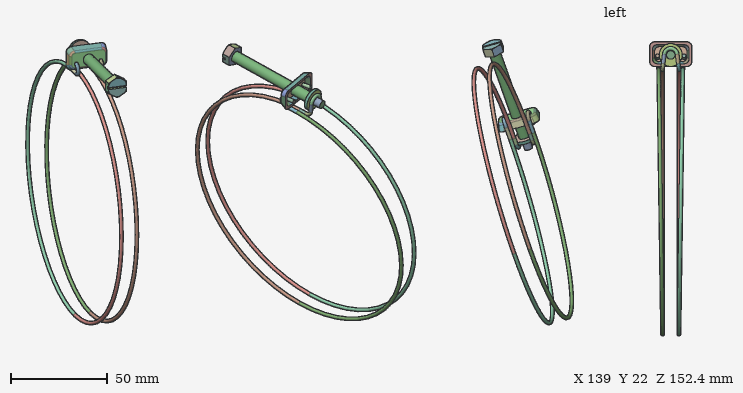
import cadquery as cq
import math


OVERALL_HEIGHT = 152.4

WIRE_DIA = 2.0
WIRE_RADIUS = WIRE_DIA / 2
RING_OUTER_DIA = 139.0
RING_RADIUS = (RING_OUTER_DIA - WIRE_DIA) / 2
INNER_STRAND_Y = 4.3
OUTER_STRAND_Y = 6.2
LOOP_RADIUS = 3.4
BEND_RADIUS = 3.0
HOOK_START_X = 7.2
HOOK_LEAN = 5.0
HOOK_TURN = 170.0
HOOK_END_LENGTH = 6.1

SCREW_Z = 76.0
TIP_DIA = 4.4
TIP_START_X = -11.5
FLANGE_DIA = 11.9
FLANGE_THICKNESS = 1.7
FLANGE_X = -6.0
SHANK_DIA = 6.0
HEAD_X = 46.6
HEAD_HEIGHT = 4.5
HEAD_ACROSS_FLATS = 9.9
HEAD_CHAMFER_DIA = 10.2
HEAD_CHAMFER_ANGLE = 30.0
SLOT_WIDTH = 1.0
SLOT_DEPTH = 1.7

LOOP_X = FLANGE_X - WIRE_RADIUS

PLATE_LENGTH = 22.0
PLATE_HEIGHT = 13.0
PLATE_DEPTH = 4.0
PLATE_RIM_X = 4.3
PLATE_TOP_Z = OVERALL_HEIGHT - RING_OUTER_DIA / 2
PLATE_CENTRE_Z = PLATE_TOP_Z - PLATE_HEIGHT / 2
CORNER_RADIUS = 2.7
END_TAPER = 0.8
LONG_SIDE_TAPER = 1.7
BACK_ROUNDING = 1.2
RIM_WIDTH = 1.5
RECESS_TAPER = 1.0
RECESS_CORNER_RADIUS = 2.5
FLOOR_THICKNESS = 1.2


def strand_edges(side):
    """Centreline of one strand, from its loop leg to its hook end; side is +1 or -1 along Y."""

    def point(x, y, z):
        return cq.Vector(x, side * y, z)

    drop = SCREW_Z - RING_RADIUS
    lean = math.acos(LOOP_RADIUS / math.hypot(INNER_STRAND_Y, drop)) - math.atan2(drop, INNER_STRAND_Y)

    def on_leg(x, rise):
        return point(x, INNER_STRAND_Y - rise * math.sin(lean), RING_RADIUS + rise * math.cos(lean))

    leg_top = point(LOOP_X, LOOP_RADIUS * math.cos(lean), SCREW_Z + LOOP_RADIUS * math.sin(lean))
    bend_start = on_leg(LOOP_X, BEND_RADIUS)
    half_bend = BEND_RADIUS * (1 - math.sqrt(0.5))
    bend_middle = on_leg(LOOP_X + half_bend, half_bend)
    bend_end = on_leg(LOOP_X + BEND_RADIUS, 0)

    ring_start = point(0, INNER_STRAND_Y, RING_RADIUS)
    ring_right = point(RING_RADIUS, INNER_STRAND_Y, 0)
    ring_bottom = point(0, INNER_STRAND_Y, -RING_RADIUS)
    ring_left = point(-RING_RADIUS, (INNER_STRAND_Y + OUTER_STRAND_Y) / 2, 0)
    ring_end = point(0, OUTER_STRAND_Y, RING_RADIUS)

    hook_lean = math.radians(HOOK_LEAN)

    def on_hook(turn, straight=0):
        angle = math.radians(turn)
        x = HOOK_START_X + BEND_RADIUS * math.sin(angle) + straight * math.cos(angle)
        rise = BEND_RADIUS * (1 - math.cos(angle)) + straight * math.sin(angle)
        return point(x, OUTER_STRAND_Y + rise * math.sin(hook_lean), RING_RADIUS + rise * math.cos(hook_lean))

    hook_start = on_hook(0)
    hook_end = on_hook(HOOK_TURN)
    return [
        cq.Edge.makeLine(leg_top, bend_start),
        cq.Edge.makeThreePointArc(bend_start, bend_middle, bend_end),
        cq.Edge.makeLine(bend_end, ring_start),
        cq.Edge.makeThreePointArc(ring_start, ring_right, ring_bottom),
        cq.Edge.makeThreePointArc(ring_bottom, ring_left, ring_end),
        cq.Edge.makeLine(ring_end, hook_start),
        cq.Edge.makeThreePointArc(hook_start, on_hook(HOOK_TURN / 2), hook_end),
        cq.Edge.makeLine(hook_end, on_hook(HOOK_TURN, HOOK_END_LENGTH)),
    ]


def make_wire():
    """One length of wire: hook, ring, loop round the screw tip, second ring, second hook."""
    near = strand_edges(-1)
    far = strand_edges(1)
    loop_top = cq.Vector(LOOP_X, 0, SCREW_Z + LOOP_RADIUS)
    loop = cq.Edge.makeThreePointArc(near[0].startPoint(), loop_top, far[0].startPoint())
    centreline = cq.Wire.assembleEdges(near[::-1] + [loop] + far)
    hook_tip = near[-1]
    section = cq.Plane(origin=hook_tip.endPoint(), normal=hook_tip.tangentAt(1))
    return cq.Workplane(section).circle(WIRE_RADIUS).sweep(cq.Workplane(centreline))


def across_screw(x):
    """Workplane normal to the screw, centred on its axis at x; local x is Y and local y is Z."""
    return cq.Workplane("YZ", origin=(x, 0, SCREW_Z))


def make_head():
    """Slotted hexagon head with a corner up and its end chamfered to a cone."""
    corner_dia = HEAD_ACROSS_FLATS / math.cos(math.pi / 6)
    hexagon = across_screw(HEAD_X).transformed(rotate=(0, 0, 90)).polygon(6, corner_dia).extrude(HEAD_HEIGHT)
    end_x = HEAD_X + HEAD_HEIGHT
    end_radius = HEAD_CHAMFER_DIA / 2
    cone_height = (corner_dia / 2 - end_radius) * math.tan(math.radians(HEAD_CHAMFER_ANGLE))
    envelope = (
        cq.Workplane("XY")
        .moveTo(HEAD_X, 0)
        .lineTo(HEAD_X, corner_dia / 2)
        .lineTo(end_x - cone_height, corner_dia / 2)
        .lineTo(end_x, end_radius)
        .lineTo(end_x, 0)
        .close()
        .revolve(360, (0, 0, 0), (1, 0, 0))
        .translate((0, 0, SCREW_Z))
    )
    slot = across_screw(end_x - SLOT_DEPTH).rect(corner_dia, SLOT_WIDTH).extrude(SLOT_DEPTH)
    return hexagon.intersect(envelope).cut(slot)


def make_screw():
    """Tip, flange, shank and head on one axis."""
    tip = across_screw(TIP_START_X).circle(TIP_DIA / 2).extrude(FLANGE_X - TIP_START_X)
    flange = across_screw(FLANGE_X).circle(FLANGE_DIA / 2).extrude(FLANGE_THICKNESS)
    shank_x = FLANGE_X + FLANGE_THICKNESS
    shank = across_screw(shank_x).circle(SHANK_DIA / 2).extrude(HEAD_X - shank_x)
    return tip.union(flange).union(shank).union(make_head()).solids()


def tapered_block(length, height, depth, end_taper, long_side_taper, corner_radius):
    """Block from the rim plane along +X whose sides slope inward by the given tapers over its depth."""
    rim_outline = cq.Sketch().rect(length, height).vertices().fillet(corner_radius)
    inner_outline = (
        cq.Sketch()
        .rect(length - 2 * end_taper, height - 2 * long_side_taper)
        .vertices()
        .fillet(corner_radius)
        .moved(cq.Location((0, 0, depth)))
    )
    rim_plane = cq.Workplane("YZ", origin=(PLATE_RIM_X, 0, PLATE_CENTRE_Z))
    return rim_plane.placeSketch(rim_outline, inner_outline).loft()


def make_plate(wire):
    """Dished plate, open toward -X, with a screw hole and two holes that fit the wire hooks."""
    body = tapered_block(
        PLATE_LENGTH, PLATE_HEIGHT, PLATE_DEPTH, END_TAPER, LONG_SIDE_TAPER, CORNER_RADIUS
    )
    rounded_body = body.faces(">X").edges().fillet(BACK_ROUNDING)
    recess = tapered_block(
        PLATE_LENGTH - 2 * RIM_WIDTH,
        PLATE_HEIGHT - 2 * RIM_WIDTH,
        PLATE_DEPTH - FLOOR_THICKNESS,
        RECESS_TAPER,
        RECESS_TAPER,
        RECESS_CORNER_RADIUS,
    )
    screw_hole = across_screw(PLATE_RIM_X).circle(SHANK_DIA / 2).extrude(PLATE_DEPTH)
    return rounded_body.cut(recess).cut(screw_hole).cut(wire).solids()


wire = make_wire()
screw = make_screw()
plate = make_plate(wire)

result = cq.Compound.makeCompound([wire.val(), screw.val(), plate.val()])